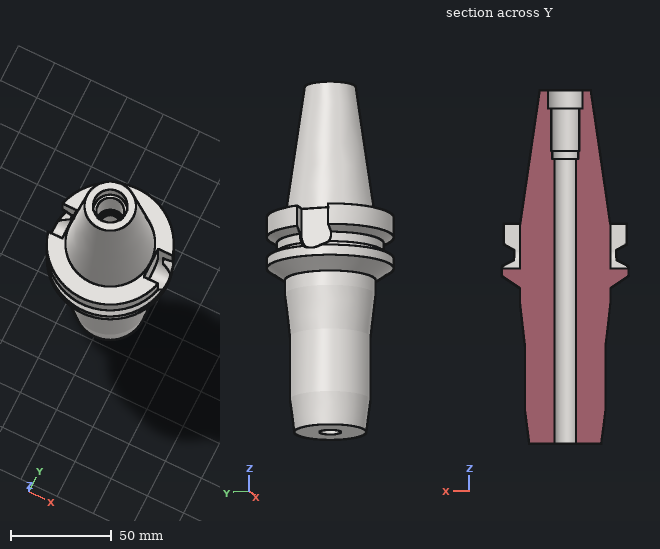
import cadquery as cq
import math


taper_length = 65.1
gauge_diameter = 44.45
taper_ratio = 7 / 24
taper_end_diameter = gauge_diameter - taper_length * taper_ratio

flange_diameter = 63.0
flange_top_z = -1.0
flange_bottom_z = -27.0
groove_centre_z = -16.6
groove_floor_diameter = 53.0
groove_floor_width = 4.8
groove_wall_angle = 30.0
groove_depth = (flange_diameter - groove_floor_diameter) / 2
groove_half_floor = groove_floor_width / 2
groove_half_mouth = groove_half_floor + groove_depth * math.tan(math.radians(groove_wall_angle))

neck_diameter = 45.0
neck_top_z = -33.0
neck_bottom_z = -40.4
barrel_diameter = 40.0
barrel_top_z = -62.0
barrel_bottom_z = -93.7
nose_diameter = 35.8
nose_z = -110.0

slot_width = 16.1
slot_floor_distance = 22.5
slot_bottom_z = -23.1
slot_radius = slot_width / 2

bore_diameter = 10.5
bore_steps = [(17.0, 9.0), (13.8, 30.0), (12.7, 34.0)]


def make_body():
    """Revolve the outer profile about the Z axis."""
    diameters_and_heights = [
        (taper_end_diameter, taper_length),
        (gauge_diameter, 0),
        (gauge_diameter, flange_top_z),
        (flange_diameter, flange_top_z),
        (flange_diameter, groove_centre_z + groove_half_mouth),
        (groove_floor_diameter, groove_centre_z + groove_half_floor),
        (groove_floor_diameter, groove_centre_z - groove_half_floor),
        (flange_diameter, groove_centre_z - groove_half_mouth),
        (flange_diameter, flange_bottom_z),
        (neck_diameter, neck_top_z),
        (neck_diameter, neck_bottom_z),
        (barrel_diameter, barrel_top_z),
        (barrel_diameter, barrel_bottom_z),
        (nose_diameter, nose_z),
    ]
    outline = [(diameter / 2, height) for diameter, height in diameters_and_heights]
    profile = [(0, taper_length)] + outline + [(0, nose_z)]
    return cq.Workplane("XZ").polyline(profile).close().revolve(360, (0, 0, 0), (0, 1, 0))


def make_drive_slot():
    """Cutter for the +X slot: open at the flange top, rounded at the bottom."""
    cut_length = flange_diameter / 2 - slot_floor_distance
    arc_centre_z = slot_bottom_z + slot_radius
    return (
        cq.Workplane("YZ", origin=(slot_floor_distance, 0, 0))
        .moveTo(-slot_radius, flange_top_z)
        .lineTo(-slot_radius, arc_centre_z)
        .threePointArc((0, slot_bottom_z), (slot_radius, arc_centre_z))
        .lineTo(slot_radius, flange_top_z)
        .close()
        .extrude(cut_length)
    )


def make_bore():
    """Through hole with wider steps entering from the shank end."""
    shank_end = cq.Workplane("XY", origin=(0, 0, taper_length))
    bore = shank_end.circle(bore_diameter / 2).extrude(nose_z - taper_length)
    for diameter, depth in bore_steps:
        bore = bore.union(shank_end.circle(diameter / 2).extrude(-depth))
    return bore


drive_slot = make_drive_slot()
result = make_body().cut(make_bore())
for angle in (0, 180):
    result = result.cut(drive_slot.rotate((0, 0, 0), (0, 0, 1), angle))